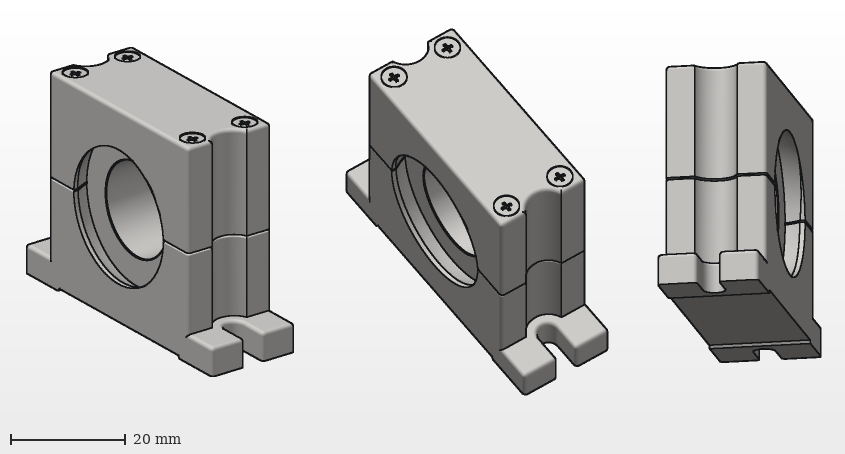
import cadquery as cq
import math


length = 55.0
depth = 18.0
height = 41.25
edge_round = 0.7

block_width = 40.9
base_top = 20.75
split_gap = 0.35
cap_bottom = base_top + split_gap
base_rim_round = 0.2

foot_height = 5.5
slot_inset = 5.6
slot_radius = 2.0
slot_x = length / 2 - slot_inset
end_groove_radius = 4.0

relief_bottom_width = 35.65
relief_top_width = 35.0
relief_depth = 0.55

bushing_z = 21.0
sphere_radius = 15.45
bushing_length = 10.3
bore_radius = 8.95
bore_chamfer = 0.15

opening_radius = 13.2
base_opening_z = bushing_z
cap_opening_drop = 0.75
cap_opening_z = bushing_z - cap_opening_drop

screw_x = 17.2
screw_y = 5.65
screw_radius = 2.25
screw_recess_depth = 0.2
cross_length = 1.9
cross_width = 0.45
cross_depth = 0.45
screw_points = [(sx * screw_x, sy * screw_y) for sx in (-1, 1) for sy in (-1, 1)]


def upright_block(bottom, top):
    """Box of the block's width with a vertical groove in each end, concentric with the slot below."""
    block = cq.Workplane("XY").workplane(offset=bottom).rect(block_width, depth).extrude(top - bottom)
    block = block.edges("|Z").fillet(edge_round)
    grooves = (
        cq.Workplane("XY").workplane(offset=bottom)
        .pushPoints([(-slot_x, 0), (slot_x, 0)])
        .circle(end_groove_radius)
        .extrude(top - bottom)
    )
    return block.cut(grooves)


def foot_plate():
    """Plate under the block, slotted from both ends, rounded everywhere but its bottom edges."""
    plate = cq.Workplane("XY").rect(length, depth).extrude(foot_height)
    for side in (-1, 1):
        slot_end = cq.Workplane("XY").center(side * slot_x, 0).circle(slot_radius).extrude(foot_height)
        slot_mouth = (
            cq.Workplane("XY").center(side * (slot_x + slot_inset / 2), 0)
            .rect(slot_inset, 2 * slot_radius)
            .extrude(foot_height)
        )
        plate = plate.cut(slot_end).cut(slot_mouth)
    plate = plate.edges("|Z and (<X or >X)").fillet(edge_round)
    return plate.faces(">Z").edges().fillet(edge_round)


def bottom_relief():
    """Shallow channel with sloped ends, running through along Y."""
    return (
        cq.Workplane("XZ")
        .moveTo(-relief_bottom_width / 2, 0)
        .lineTo(-relief_top_width / 2, relief_depth)
        .lineTo(relief_top_width / 2, relief_depth)
        .lineTo(relief_bottom_width / 2, 0)
        .close()
        .extrude(depth / 2, both=True)
    )


def bushing_sphere():
    return cq.Workplane("XY").sphere(sphere_radius).translate((0, 0, bushing_z))


def face_opening(centre_z):
    return cq.Workplane("XZ").center(0, centre_z).circle(opening_radius).extrude(depth / 2, both=True)


def make_base():
    block = upright_block(0, base_top).faces(">Z").edges().fillet(base_rim_round)
    base = block.union(foot_plate()).cut(bottom_relief())
    return base.cut(face_opening(base_opening_z)).cut(bushing_sphere())


def screw_cross(point):
    """Cross recess for the driver, sunk below the floor of the screw recess."""
    floor = height - screw_recess_depth
    bars = cq.Workplane("XY").workplane(offset=floor - cross_depth).center(*point)
    lengthwise = bars.rect(cross_length, cross_width).extrude(cross_depth)
    return lengthwise.union(bars.rect(cross_width, cross_length).extrude(cross_depth))


def make_cap():
    cap = upright_block(cap_bottom, height).faces(">Z").edges().fillet(edge_round)
    cap = cap.cut(face_opening(cap_opening_z)).cut(bushing_sphere())
    pads = cq.Workplane("XY").workplane(offset=base_top).pushPoints(screw_points)
    cap = cap.union(pads.circle(screw_radius).extrude(split_gap))
    recesses = cq.Workplane("XY").workplane(offset=height).pushPoints(screw_points)
    cap = cap.cut(recesses.circle(screw_radius).extrude(-screw_recess_depth))
    for point in screw_points:
        cap = cap.cut(screw_cross(point))
    return cap


def make_bushing():
    """Sphere cut flat at both ends, with a chamfered bore along Y."""
    half_length = bushing_length / 2
    end_radius = math.sqrt(sphere_radius**2 - half_length**2)
    bushing = (
        cq.Workplane("XY")
        .moveTo(bore_radius, -half_length + bore_chamfer)
        .lineTo(bore_radius + bore_chamfer, -half_length)
        .lineTo(end_radius, -half_length)
        .threePointArc((sphere_radius, 0), (end_radius, half_length))
        .lineTo(bore_radius + bore_chamfer, half_length)
        .lineTo(bore_radius, half_length - bore_chamfer)
        .close()
        .revolve(360, (0, 0, 0), (0, 1, 0))
    )
    return bushing.translate((0, 0, bushing_z))


base = make_base()
cap = make_cap()
bushing = make_bushing()

result = cq.Compound.makeCompound([base.solids().val(), cap.solids().val(), bushing.val()])